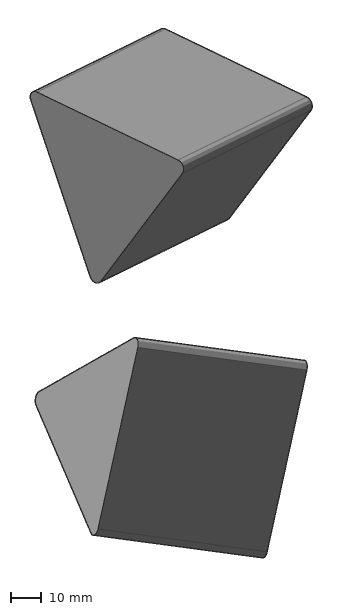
import cadquery as cq

length = 63.5
corner_radius = 2.6
corner_spacing = 60.8
tilt = 5.3

sharp_side = corner_spacing + 2 * 3**0.5 * corner_radius
sharp_height = sharp_side * 3**0.5 / 2

top_z = sharp_height / 3
bottom_z = top_z - sharp_height
prism = (
    cq.Workplane("XZ")
    .polyline([(-sharp_side / 2, top_z), (sharp_side / 2, top_z), (0, bottom_z)])
    .close()
    .extrude(length / 2, both=True)
    .edges("|Y")
    .fillet(corner_radius)
)

result = prism.rotate((0, 0, 0), (0, 1, 0), tilt)